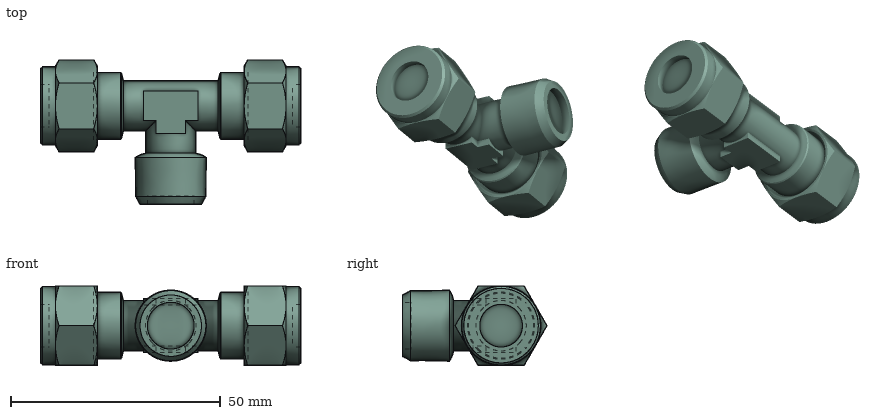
import cadquery as cq
import math

half_length = 31.0
tube_radius = 6.0

nut_across_flats = 19.0
nut_inner_x = 17.5
nut_outer_x = 27.45
nut_chamfer_angle = 30.0
end_collar_radius = 9.35
end_collar_chamfer = 0.5
body_collar_start_x = 11.3
body_collar_cone_length = 0.45
body_collar_radius = 8.0
body_collar_edge_break = 0.25
nut_recess_radius = 8.9
run_bore_radius = 5.1
run_bore_depth = 2.0

branch_length = 23.5
stud_start = 11.3
stud_shoulder = 12.35
stud_tip_start = 21.6
stud_shoulder_radius = 8.5
stud_shoulder_bulge = 0.2
stud_tip_start_radius = 8.4
stud_tip_radius = 7.3
branch_bore_radius = 5.6
branch_bore_depth = 2.0

block_half_width = 6.45
block_half_height = 6.45
block_half_depth = 3.55
block_stem_length = 6.65

nut_corner_radius = nut_across_flats / 2 / math.cos(math.pi / 6)


def cylinder_x(start, length, radius):
    return cq.Workplane("YZ").workplane(offset=start).circle(radius).extrude(length)


def make_nut():
    """Hexagon with corners on the Y axis, its corners turned down at both ends."""
    length = nut_outer_x - nut_inner_x
    face_radius = nut_across_flats / 2
    corner_drop = nut_corner_radius - face_radius
    chamfer_length = corner_drop * math.tan(math.radians(nut_chamfer_angle))
    hexagon = (
        cq.Workplane("YZ")
        .workplane(offset=nut_inner_x)
        .polygon(6, 2 * nut_corner_radius)
        .extrude(length)
    )
    profile = [
        (nut_inner_x, 0),
        (nut_inner_x, face_radius),
        (nut_inner_x + chamfer_length, nut_corner_radius),
        (nut_outer_x - chamfer_length, nut_corner_radius),
        (nut_outer_x, face_radius),
        (nut_outer_x, 0),
    ]
    turned_blank = cq.Workplane("XY").polyline(profile).close().revolve(360, (0, 0), (1, 0))
    return hexagon.intersect(turned_blank)


def make_run_end():
    """Body collar, nut and end collar on the +X side."""
    recess_depth = nut_recess_radius - body_collar_radius
    recess = (
        cq.Workplane("XY")
        .moveTo(nut_inner_x, body_collar_radius)
        .lineTo(nut_inner_x, nut_recess_radius)
        .lineTo(nut_inner_x + recess_depth, body_collar_radius)
        .close()
        .revolve(360, (0, 0), (1, 0))
    )
    nut = make_nut().cut(recess)
    cone_end_x = body_collar_start_x + body_collar_cone_length
    collar_profile = [
        (body_collar_start_x, 0),
        (body_collar_start_x, tube_radius),
        (cone_end_x, body_collar_radius - body_collar_edge_break),
        (cone_end_x + body_collar_edge_break, body_collar_radius),
        (nut_inner_x, body_collar_radius),
        (nut_inner_x, 0),
    ]
    body_collar = cq.Workplane("XY").polyline(collar_profile).close().revolve(360, (0, 0), (1, 0))
    end_collar = cylinder_x(nut_outer_x, half_length - nut_outer_x, end_collar_radius)
    end_collar = end_collar.faces(">X").chamfer(end_collar_chamfer)
    bore = cylinder_x(half_length - run_bore_depth, run_bore_depth, run_bore_radius)
    return body_collar.union(nut).union(end_collar).cut(bore)


def make_branch():
    """Branch tube and tapered stud, turned about the Y axis."""
    neck = (tube_radius, -stud_start)
    shoulder = (stud_shoulder_radius, -stud_shoulder)
    shoulder_middle = (
        (tube_radius + stud_shoulder_radius) / 2,
        stud_shoulder_bulge - (stud_start + stud_shoulder) / 2,
    )
    bore_floor = branch_bore_depth - branch_length
    return (
        cq.Workplane("XY")
        .moveTo(0, 0)
        .lineTo(tube_radius, 0)
        .lineTo(*neck)
        .threePointArc(shoulder_middle, shoulder)
        .lineTo(stud_tip_start_radius, -stud_tip_start)
        .lineTo(stud_tip_radius, -branch_length)
        .lineTo(branch_bore_radius, -branch_length)
        .lineTo(branch_bore_radius, bore_floor)
        .lineTo(0, bore_floor)
        .close()
        .revolve(360, (0, 0), (0, 1))
    )


def make_block():
    """T-shaped block whose flat faces stand proud of the tubes above and below."""
    outline = [
        (-block_half_width, block_half_depth),
        (block_half_width, block_half_depth),
        (block_half_width, -block_half_depth),
        (block_half_depth, -block_half_depth),
        (block_half_depth, -block_stem_length),
        (-block_half_depth, -block_stem_length),
        (-block_half_depth, -block_half_depth),
        (-block_half_width, -block_half_depth),
    ]
    return cq.Workplane("XY").polyline(outline).close().extrude(block_half_height, both=True)


run_end = make_run_end()
run_tube = cylinder_x(-body_collar_start_x, 2 * body_collar_start_x, tube_radius)
result = run_tube.union(make_branch()).union(make_block())
result = result.union(run_end).union(run_end.mirror("YZ"))